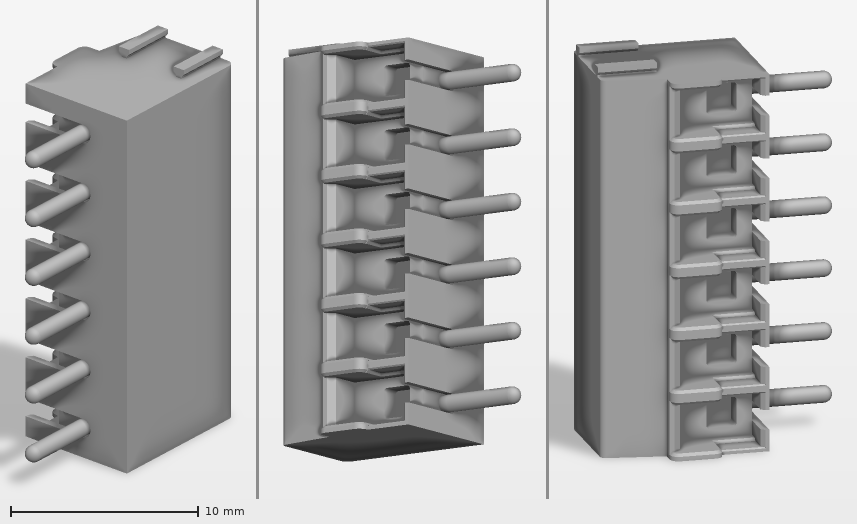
import cadquery as cq


POLES = 6
OVERALL_HEIGHT = 21.57
BODY_HEIGHT = 21.0
PITCH = BODY_HEIGHT / POLES
WIDTH = 7.6
DEPTH = 9.0
SIDE_X = 0.58
SHOULDER_Y = 5.52
SLANT_START_X = 1.1
SLANT_END_X = 1.66
SLANT_CORNER_RADIUS = 0.32
BACK_CORNER_RADIUS = 0.43

DIVIDER = 0.8
POCKET_HEIGHT = PITCH - DIVIDER
POCKET_FLOOR_X = 2.55
FRONT_WALL = 0.43
FRONT_RIM = 0.22
POCKET_BACK_Y = 4.87
BACK_BEVEL_X = 0.82
BACK_BEVEL_Y = 5.25
LEDGE_X = 0.52

TAB_BOTTOM_Y = 2.65
TAB_RADIUS = 0.47
TAB_CHAMFER = 0.15

RECESS_DEPTH = 0.15
RECESS_END_X = 1.98
RECESS_TOP_Y = 2.76
RECESS_EDGE_CHAMFER = 0.075

WINDOW_SIZE = 1.66
WINDOW_CENTER_Y = 2.11
WINDOW_RADIUS = 0.17
WINDOW_DEPTH = 1.08

PIN_X = 4.49
PIN_RADIUS = 0.47
PIN_LENGTH = 4.5
SLOT_HEIGHT = 1.1
SLOT_END_X = 5.07

RIB_CENTERS_X = (2.63, 6.43)
RIB_HEIGHT = OVERALL_HEIGHT - BODY_HEIGHT
RIB_LIP = 0.28
RIB_TOP_WIDTH = 0.71
RIB_NECK_WIDTH = 0.37
RIB_NECK_HEIGHT = 0.1
RIB_FRONT_Y = 5.74


def prism(points, bottom_z, height):
    """Straight extrusion of an XY outline."""
    return cq.Workplane("XY", origin=(0, 0, bottom_z)).polyline(points).close().extrude(height)


def make_block():
    block = prism(
        [
            (SIDE_X, 0),
            (WIDTH, 0),
            (WIDTH, DEPTH),
            (SLANT_END_X, DEPTH),
            (SLANT_START_X, SHOULDER_Y),
            (LEDGE_X, SHOULDER_Y),
            (LEDGE_X, POCKET_BACK_Y),
            (SIDE_X, POCKET_BACK_Y),
        ],
        0,
        BODY_HEIGHT,
    )
    block = block.edges("|Z and >Y and >X").fillet(BACK_CORNER_RADIUS)
    slant_corner = cq.selectors.NearestToPointSelector((SLANT_END_X, DEPTH, BODY_HEIGHT / 2))
    return block.edges(slant_corner).fillet(SLANT_CORNER_RADIUS)


def make_tab(center_z):
    """Rounded, chamfered tab centred on a divider; its root lies inside the divider."""
    tab_height = SHOULDER_Y - TAB_BOTTOM_Y
    return (
        cq.Workplane("XY", origin=(0, TAB_BOTTOM_Y, center_z - DIVIDER / 2))
        .rect(SLANT_START_X, tab_height, centered=False)
        .extrude(DIVIDER)
        .edges("|Z and <X")
        .fillet(TAB_RADIUS)
        .faces("<Z or >Z")
        .edges("not >X")
        .chamfer(TAB_CHAMFER)
    )


def make_tabs():
    """One tab per divider; the two outermost are cut flush with the housing ends."""
    tabs = make_tab(0)
    for index in range(1, POLES + 1):
        tabs = tabs.union(make_tab(index * PITCH))
    envelope = cq.Workplane("XY").rect(WIDTH, DEPTH, centered=False).extrude(BODY_HEIGHT)
    return tabs.intersect(envelope)


def make_pocket(center_z):
    """Pocket open to -X, with bevels at the mouth of its front and back walls."""
    bevel = FRONT_WALL - FRONT_RIM
    pocket = prism(
        [
            (LEDGE_X, FRONT_RIM),
            (SIDE_X, FRONT_RIM),
            (SIDE_X + bevel, FRONT_WALL),
            (POCKET_FLOOR_X, FRONT_WALL),
            (POCKET_FLOOR_X, POCKET_BACK_Y),
            (BACK_BEVEL_X, POCKET_BACK_Y),
            (LEDGE_X, BACK_BEVEL_Y),
        ],
        center_z - POCKET_HEIGHT / 2,
        POCKET_HEIGHT,
    )
    return pocket.union(make_recess(center_z))


def make_recess(center_z):
    """Widening of the pocket that thins the dividers, with 45 degree end slopes."""
    half_pocket = POCKET_HEIGHT / 2
    half_recess = half_pocket + RECESS_DEPTH
    bevel = FRONT_WALL - FRONT_RIM
    length_x = RECESS_END_X - SIDE_X
    length_y = RECESS_TOP_Y - FRONT_WALL

    upper = (
        cq.Workplane("XY", origin=(SIDE_X, FRONT_WALL, half_pocket))
        .rect(length_x, length_y, centered=False)
        .workplane(offset=RECESS_DEPTH)
        .rect(length_x - RECESS_DEPTH, length_y - RECESS_DEPTH, centered=False)
        .loft(ruled=True)
    )
    front_bevel = prism(
        [(SIDE_X, FRONT_RIM), (SIDE_X + bevel, FRONT_WALL), (SIDE_X, FRONT_WALL)],
        -half_recess,
        2 * half_recess,
    )
    upper_chamfer = (
        cq.Workplane("XZ", origin=(SIDE_X, FRONT_RIM, half_recess))
        .polyline([(0, 0), (RECESS_EDGE_CHAMFER, 0), (0, RECESS_EDGE_CHAMFER)])
        .close()
        .extrude(FRONT_RIM - RECESS_TOP_Y)
    )
    upper = upper.union(upper_chamfer)
    lower = upper.mirror("XY")
    return upper.union(lower).union(front_bevel).translate((0, 0, center_z))


def make_window(center_z):
    return (
        cq.Workplane("YZ", origin=(POCKET_FLOOR_X, WINDOW_CENTER_Y, center_z))
        .rect(WINDOW_SIZE, WINDOW_SIZE)
        .extrude(WINDOW_DEPTH)
        .edges("|X")
        .fillet(WINDOW_RADIUS)
    )


def make_slot(center_z):
    """Slot through the front wall, open to -X and round at the pin end."""
    radius = SLOT_HEIGHT / 2
    return (
        cq.Workplane("XZ", origin=(0, 0, center_z))
        .moveTo(0, -radius)
        .lineTo(SLOT_END_X - radius, -radius)
        .threePointArc((SLOT_END_X, 0), (SLOT_END_X - radius, radius))
        .lineTo(0, radius)
        .close()
        .extrude(-FRONT_WALL)
    )


def make_pin(center_z):
    """Round pin with a hemispherical tip, standing on the slot bottom."""
    return (
        cq.Workplane("XZ", origin=(PIN_X, FRONT_WALL, center_z))
        .circle(PIN_RADIUS)
        .extrude(FRONT_WALL + PIN_LENGTH - PIN_RADIUS)
        .union(cq.Workplane("XY", origin=(PIN_X, PIN_RADIUS - PIN_LENGTH, center_z)).sphere(PIN_RADIUS))
    )


def make_rib(center_x):
    half_top = RIB_TOP_WIDTH / 2
    half_neck = RIB_NECK_WIDTH / 2
    return (
        cq.Workplane("XZ", origin=(center_x, RIB_FRONT_Y, BODY_HEIGHT))
        .polyline(
            [
                (-half_neck, 0),
                (half_neck, 0),
                (half_neck, RIB_NECK_HEIGHT),
                (half_top, RIB_HEIGHT - RIB_LIP),
                (half_top, RIB_HEIGHT),
                (-half_top, RIB_HEIGHT),
                (-half_top, RIB_HEIGHT - RIB_LIP),
                (-half_neck, RIB_NECK_HEIGHT),
            ]
        )
        .close()
        .extrude(RIB_FRONT_Y - DEPTH)
    )


result = make_block()
for pole in range(POLES):
    pole_z = (pole + 0.5) * PITCH
    result = result.cut(make_pocket(pole_z))
    result = result.cut(make_window(pole_z))
    result = result.cut(make_slot(pole_z))
    result = result.union(make_pin(pole_z))
for rib_x in RIB_CENTERS_X:
    result = result.union(make_rib(rib_x))
result = result.union(make_tabs())